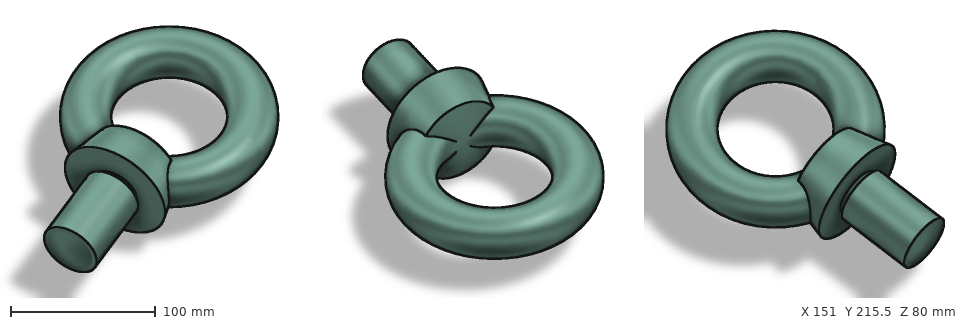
import cadquery as cq

ring_outer_diameter = 151.0
eye_diameter = 80.0
eye_radius = eye_diameter / 2
bar_radius = (ring_outer_diameter - eye_diameter) / 4
ring_centre_radius = eye_radius + bar_radius

overall_length = 215.5
ring_top = ring_outer_diameter / 2
shank_tip = ring_top - overall_length
thread_end_dome_height = 3.2
shank_length = 64.9
neck_length = 4.3
collar_seat = shank_tip + shank_length
neck_end = collar_seat - neck_length
thread_end = shank_tip + thread_end_dome_height

collar_radius = eye_radius
collar_height = 30.2
collar_rim_radius = 32.5
collar_rim = collar_seat + collar_height
crown_top = -eye_radius

thread_radius = 21.01
neck_radius = 17.5


def dome_radius(base_radius, height):
    """Radius of the sphere whose cap has the given base radius and height."""
    return (base_radius**2 + height**2) / (2 * height)


def height_on_dome(base_radius, height, distance):
    """Height above the cap's base at a given distance from its axis."""
    sphere = dome_radius(base_radius, height)
    return (sphere**2 - distance**2) ** 0.5 - (sphere - height)


def make_ring():
    """Bar section turned about the Z axis."""
    return (
        cq.Workplane("XZ")
        .center(ring_centre_radius, 0)
        .circle(bar_radius)
        .revolve(360, (-ring_centre_radius, 0), (-ring_centre_radius, 1))
    )


def make_collar_and_shank():
    """Half profile turned about the Y axis."""
    crown_mid = collar_rim_radius / 2
    crown_mid_y = collar_rim + height_on_dome(collar_rim_radius, crown_top - collar_rim, crown_mid)
    tip_mid = neck_radius / 2
    tip_mid_y = thread_end - height_on_dome(neck_radius, thread_end_dome_height, tip_mid)
    return (
        cq.Workplane("XY")
        .moveTo(0, crown_top)
        .threePointArc((crown_mid, crown_mid_y), (collar_rim_radius, collar_rim))
        .lineTo(collar_radius, collar_seat)
        .lineTo(neck_radius, collar_seat)
        .lineTo(neck_radius, neck_end)
        .lineTo(thread_radius, neck_end)
        .lineTo(thread_radius, thread_end)
        .lineTo(neck_radius, thread_end)
        .threePointArc((tip_mid, tip_mid_y), (0, shank_tip))
        .close()
        .revolve(360, (0, 0), (0, 1))
    )


result = make_ring().union(make_collar_and_shank())